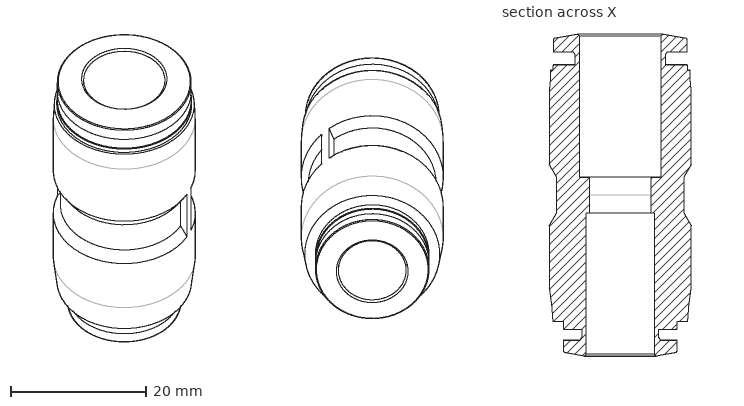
import math

import cadquery as cq

LENGTH = 47.6
HALF_LENGTH = LENGTH / 2
BODY_DIA = 21.0

BODY_TOP_DIA = 20.7
BODY_BOTTOM_DIA = 19.95
BODY_TOP_Z = 18.45
UPPER_TAPER_START_Z = 15.45
LOWER_TAPER_START_Z = -13.75
BODY_BOTTOM_Z = -18.7

TOP_COLLAR_DIA = BODY_BOTTOM_DIA
TOP_COLLAR_Z = 19.25
BOTTOM_COLLAR_DIA = 16.8
BOTTOM_COLLAR_Z = -19.85
COLLAR_CHAMFER = 0.1

SLEEVE_WALL = 0.7
FACE_ANGLE = 10.0
RIM_CHAMFER = 0.15
MOUTH_CHAMFER = 0.3
FLARE_WIDTH = 0.3
FLARE_HEIGHT = 0.4
TOP_FLANGE_DIA = 19.8
TOP_FLANGE_Z = 21.12
BOTTOM_FLANGE_DIA = BOTTOM_COLLAR_DIA
BOTTOM_FLANGE_Z = -21.4

TOP_SOCKET_DIA = 12.0
BOTTOM_SOCKET_DIA = 10.0
BORE_DIA = 9.0

WAIST_DIA = 18.9
WAIST_HALF_HEIGHT = 2.65
WAIST_FLANK_ANGLE = 60.0
RIB_WIDTH = 1.5
STOP_HALF_HEIGHT = WAIST_HALF_HEIGHT


def revolve(profile):
    """Turn a closed (radius, z) profile about the Z axis."""
    return profile.close().revolve(360, (0, 0, 0), (0, 1, 0))


def make_body():
    """Solid body with a slight taper at the top and a steeper one at the bottom."""
    profile = (
        cq.Workplane("XZ")
        .moveTo(0, BODY_TOP_Z)
        .lineTo(BODY_TOP_DIA / 2, BODY_TOP_Z)
        .lineTo(BODY_DIA / 2, UPPER_TAPER_START_Z)
        .lineTo(BODY_DIA / 2, LOWER_TAPER_START_Z)
        .lineTo(BODY_BOTTOM_DIA / 2, BODY_BOTTOM_Z)
        .lineTo(0, BODY_BOTTOM_Z)
    )
    return revolve(profile)


def make_waist_groove():
    """Trapezoidal ring around the waist, left uncut where the two ribs stand."""
    bottom_radius = WAIST_DIA / 2
    outer_radius = BODY_DIA / 2 + 1.0
    flank = (outer_radius - bottom_radius) * math.tan(math.radians(WAIST_FLANK_ANGLE))
    outer_half_height = WAIST_HALF_HEIGHT + flank
    profile = (
        cq.Workplane("XZ")
        .moveTo(bottom_radius, -WAIST_HALF_HEIGHT)
        .lineTo(outer_radius, -outer_half_height)
        .lineTo(outer_radius, outer_half_height)
        .lineTo(bottom_radius, WAIST_HALF_HEIGHT)
    )
    ribs = cq.Workplane("XY").box(2 * outer_radius, RIB_WIDTH, 2 * outer_half_height)
    return revolve(profile).cut(ribs)


def make_end(end, collar_dia, collar_z, flange_dia, flange_z, socket_dia):
    """Collar and release sleeve of one end; `end` is +1 for the top and -1 for the bottom."""
    collar_radius = collar_dia / 2
    flange_radius = flange_dia / 2
    neck_radius = socket_dia / 2 + SLEEVE_WALL
    rim_radius = flange_radius - RIM_CHAMFER
    mouth_radius = socket_dia / 2 + MOUTH_CHAMFER
    face_drop = (rim_radius - mouth_radius) * math.tan(math.radians(FACE_ANGLE))
    rim_z = end * (HALF_LENGTH - face_drop)
    profile = (
        cq.Workplane("XZ")
        .moveTo(0, 0)
        .lineTo(collar_radius, 0)
        .lineTo(collar_radius, collar_z - end * COLLAR_CHAMFER)
        .lineTo(collar_radius - COLLAR_CHAMFER, collar_z)
        .lineTo(neck_radius, collar_z)
        .lineTo(neck_radius, flange_z - end * FLARE_HEIGHT)
        .lineTo(neck_radius + FLARE_WIDTH, flange_z)
        .lineTo(flange_radius, flange_z)
        .lineTo(flange_radius, rim_z - end * RIM_CHAMFER)
        .lineTo(rim_radius, rim_z)
        .lineTo(mouth_radius, end * HALF_LENGTH)
        .lineTo(0, end * HALF_LENGTH)
    )
    return revolve(profile)


def make_socket(end, socket_dia):
    """Tube socket from the tube stop to one end face, with a chamfered mouth."""
    radius = socket_dia / 2
    end_z = end * HALF_LENGTH
    stop_z = end * STOP_HALF_HEIGHT
    profile = (
        cq.Workplane("XZ")
        .moveTo(0, stop_z)
        .lineTo(radius, stop_z)
        .lineTo(radius, end_z - end * MOUTH_CHAMFER)
        .lineTo(radius + MOUTH_CHAMFER, end_z)
        .lineTo(0, end_z)
    )
    return revolve(profile)


def make_bore():
    """Bore through the full length."""
    return cq.Workplane("XY").circle(BORE_DIA / 2).extrude(HALF_LENGTH, both=True)


top_end = make_end(
    1, TOP_COLLAR_DIA, TOP_COLLAR_Z, TOP_FLANGE_DIA, TOP_FLANGE_Z, TOP_SOCKET_DIA
)
bottom_end = make_end(
    -1, BOTTOM_COLLAR_DIA, BOTTOM_COLLAR_Z, BOTTOM_FLANGE_DIA, BOTTOM_FLANGE_Z, BOTTOM_SOCKET_DIA
)
result = (
    make_body()
    .union(top_end)
    .union(bottom_end)
    .cut(make_waist_groove())
    .cut(make_socket(1, TOP_SOCKET_DIA))
    .cut(make_socket(-1, BOTTOM_SOCKET_DIA))
    .cut(make_bore())
)